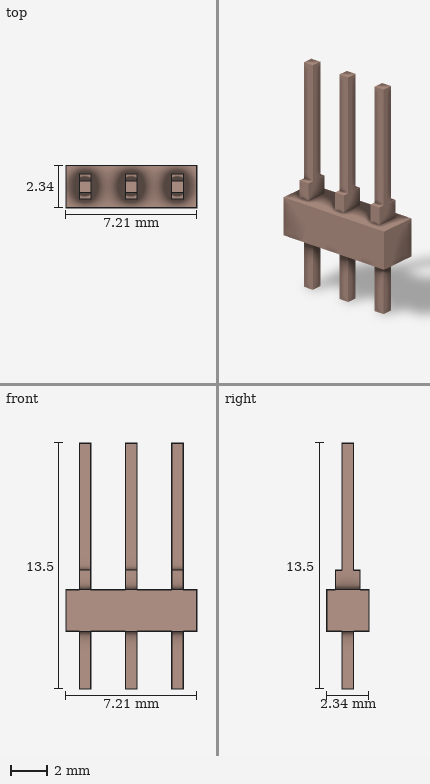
import cadquery as cq


BODY_LENGTH = 7.21
BODY_WIDTH = 2.34
BODY_HEIGHT = 2.30

PIN_COUNT = 3
PIN_PITCH = 2.54
PIN_SIDE = 0.64
TOTAL_HEIGHT = 13.54
TAIL_LENGTH = 3.18

SHOULDER_WIDTH = 1.37
SHOULDER_HEIGHT = 1.07


def block(length, width, height, x, bottom):
    """Upright block centred on (x, 0) with its base at the given Z."""
    return cq.Workplane("XY").box(length, width, height, centered=(True, True, False)).translate((x, 0, bottom))


def pin(x):
    """Square pin through the body, with its shoulder above the body."""
    shaft = block(PIN_SIDE, PIN_SIDE, TOTAL_HEIGHT, x, -TAIL_LENGTH)
    shoulder = block(PIN_SIDE, SHOULDER_WIDTH, SHOULDER_HEIGHT, x, BODY_HEIGHT)
    return shaft.union(shoulder)


result = block(BODY_LENGTH, BODY_WIDTH, BODY_HEIGHT, 0, 0)
for index in range(PIN_COUNT):
    pin_x = (index - (PIN_COUNT - 1) / 2) * PIN_PITCH
    result = result.union(pin(pin_x))